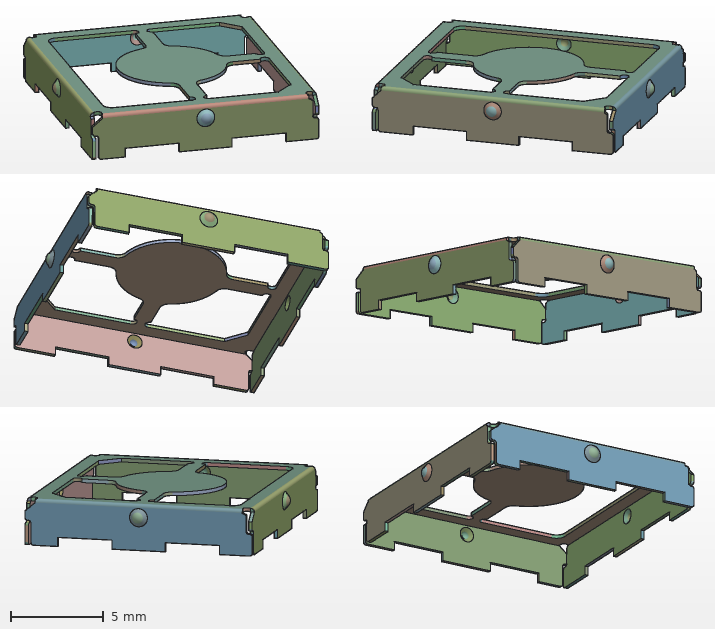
import cadquery as cq


length_x = 14.27
length_y = 13.31
height = 2.54
sheet = 0.2
bend_radius = sheet
bend_z = height - bend_radius

bump_height = 0.3
bump_radius = 0.5
bump_shoulder = 0.17
bump_cap_radius = 0.3
bump_z = 1.81
dimple_inset = 0.09
dimple_radius = bump_radius - dimple_inset
dimple_shoulder_radius = bump_cap_radius - dimple_inset

half_x = length_x / 2 - bump_height
half_y = length_y / 2 - bump_height

corner_gap = 0.14
end_setback = sheet + corner_gap
tab_chamfer_z = 1.88
tab_bottom_z = 1.35
recess_bottom_z = 1.2
recess_top_z = 2.23
end_corner_radius = 0.14
bend_setback_long = 0.49
bend_setback_short = 0.55

notch_inner = 1.48
notch_outer = 4.52
notch_height = 0.5

relief_radius = 0.2
relief_offset = bend_radius + relief_radius

rim_width = 1.0
open_x = half_x - rim_width
open_y = half_y - rim_width
open_chamfer = 1.0
open_radius = 0.5

disc_radius = 3.0
arm_width = 0.97
arm_fillet = 0.5
neck_radius = 0.24


def corner_selector(side, half_length):
    """Edges at one lower end of a wall, on either side (-1 or 1)."""
    inner = side * (half_length - end_setback - sheet)
    outer = side * (half_length + sheet)
    return cq.selectors.BoxSelector(
        (inner, -length_y, -sheet), (outer, length_y, tab_bottom_z + sheet / 2)
    )


def make_bump(face_y, foot_radius, shoulder_radius):
    """Cone with a domed tip standing on the plane y = face_y and pointing to -Y."""
    cap_height = bump_height - bump_shoulder
    dome_radius = (shoulder_radius**2 + cap_height**2) / (2 * cap_height)
    return (
        cq.Workplane("XY")
        .moveTo(0, face_y)
        .lineTo(foot_radius, face_y)
        .lineTo(shoulder_radius, face_y - bump_shoulder)
        .radiusArc((0, face_y - bump_height), dome_radius)
        .close()
        .revolve(360, (0, 0), (0, 1))
        .translate((0, 0, bump_z))
    )


def make_wall(half_length, face, bend_setback):
    """Wall facing -Y with its outer face at y = -face, bend and bump included."""
    left = -half_length
    right = half_length
    outline = [
        (left + bend_setback, bend_z),
        (left, tab_chamfer_z),
        (left, tab_bottom_z),
        (left + end_setback, tab_bottom_z),
        (left + end_setback, 0),
        (right, 0),
        (right, recess_bottom_z),
        (right - end_setback, recess_bottom_z),
        (right - end_setback, recess_top_z),
        (right - bend_setback, bend_z),
    ]
    wall = cq.Workplane("XZ", origin=(0, -face, 0)).polyline(outline).close().extrude(-sheet)
    for side in (-1, 1):
        wall = wall.edges("|Y").edges(corner_selector(side, half_length)).fillet(end_corner_radius)

    notch_width = notch_outer - notch_inner
    for side in (-1, 1):
        notch = cq.Workplane("XY").box(notch_width, 4 * sheet, 2 * notch_height)
        wall = wall.cut(notch.translate((side * (notch_inner + notch_outer) / 2, -face, 0)))

    bend_start = left + bend_setback
    bend_length = 2 * (half_length - bend_setback)
    bend = (
        cq.Workplane("YZ", origin=(bend_start, bend_radius - face, bend_z))
        .lineTo(-bend_radius, 0)
        .radiusArc((0, bend_radius), bend_radius)
        .close()
        .extrude(bend_length)
    )
    bump = make_bump(-face, bump_radius, bump_cap_radius)
    dimple = make_bump(sheet - face, dimple_radius, dimple_shoulder_radius)
    return wall.union(bend).union(bump).cut(dimple)


def make_corner_relief():
    """Cutter for the lid corner at +X +Y: a round end run out to both folds."""
    centre_x = half_x - relief_offset
    centre_y = half_y - relief_offset
    tool = cq.Workplane("XY").center(centre_x, centre_y).circle(relief_radius).extrude(height)
    slot = cq.Workplane("XY").rect(relief_offset, relief_offset + relief_radius, centered=False)
    slot = slot.extrude(height).translate((centre_x, centre_y - relief_radius, 0))
    fold_end = cq.Workplane("XY").rect(bend_setback_long, relief_offset, centered=False)
    fold_end = fold_end.extrude(height).translate((half_x - bend_setback_long, centre_y, 0))
    return tool.union(slot).union(fold_end)


def make_rim():
    """Flat lid with its opening and corner reliefs."""
    flat = cq.Workplane("XY").rect(2 * (half_x - bend_radius), 2 * (half_y - bend_radius)).extrude(sheet)
    opening = cq.Workplane("XY").rect(2 * open_x, 2 * open_y).extrude(sheet)
    opening = opening.edges("|Z and >Y").chamfer(open_chamfer)
    opening = opening.edges("|Z and <Y").fillet(open_radius)
    rim = flat.cut(opening).translate((0, 0, height - sheet))
    relief = make_corner_relief()
    rim = rim.cut(relief).cut(relief.mirror("YZ"))
    rim = rim.cut(relief.mirror("XZ")).cut(relief.mirror("YZ").mirror("XZ"))
    return rim


def make_spider():
    """Disc on three arms, each narrowed by a pair of round cuts beside the rim."""
    cross_arm = cq.Workplane("XY").rect(2 * open_x, arm_width).extrude(sheet)
    back_arm = cq.Workplane("XY").center(0, open_y / 2).rect(arm_width, open_y).extrude(sheet)
    spider = cq.Workplane("XY").circle(disc_radius).extrude(sheet).union(cross_arm).union(back_arm)
    junctions = cq.selectors.BoxSelector(
        (-disc_radius, -disc_radius, 0), (disc_radius, disc_radius, sheet)
    )
    spider = spider.edges("|Z").edges(junctions).fillet(arm_fillet)

    neck_x = open_x - neck_radius
    neck_y = open_y - neck_radius
    half_arm = arm_width / 2
    neck_centres = [(sx * neck_x, sy * half_arm) for sx in (-1, 1) for sy in (-1, 1)]
    neck_centres += [(sx * half_arm, neck_y) for sx in (-1, 1)]
    necks = cq.Workplane("XY").pushPoints(neck_centres).circle(neck_radius).extrude(sheet)
    return spider.cut(necks).translate((0, 0, height - sheet))


result = make_rim().union(make_spider())
for turn in range(4):
    if turn % 2 == 0:
        side_wall = make_wall(half_x, half_y, bend_setback_long)
    else:
        side_wall = make_wall(half_y, half_x, bend_setback_short)
    result = result.union(side_wall.rotate((0, 0, 0), (0, 0, 1), -90 * turn))